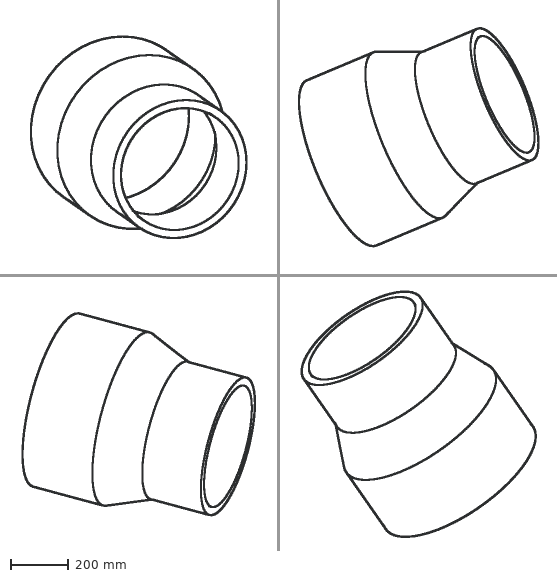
import cadquery as cq

total_length = 650.0
large_length = 265.0
small_length = 222.0
small_start = total_length - small_length

large_outer_radius = 630.0 / 2
large_inner_radius = 555.0 / 2
small_outer_radius = 500.0 / 2
small_inner_radius = 441.0 / 2


def stepped_cone(large_radius, small_radius):
    """Solid of revolution: large cylinder, conical transition, small cylinder."""
    half_profile = (
        cq.Workplane("XY")
        .moveTo(0, 0)
        .lineTo(0, large_radius)
        .lineTo(large_length, large_radius)
        .lineTo(small_start, small_radius)
        .lineTo(total_length, small_radius)
        .lineTo(total_length, 0)
        .close()
    )
    return half_profile.revolve(360, (0, 0, 0), (1, 0, 0))


body = stepped_cone(large_outer_radius, small_outer_radius)
bore = stepped_cone(large_inner_radius, small_inner_radius)
result = body.cut(bore)